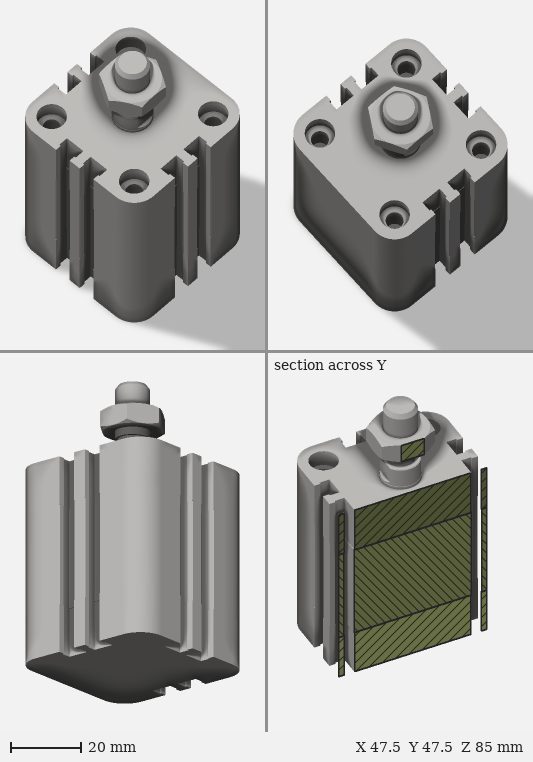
import cadquery as cq
import math

total_height = 85.0
body_side = 47.5
corner_radius = 7.5
body_height = 59.0
cap_height = 14.45
barrel_height = body_height - 2 * cap_height
body_top = body_height

slot_offset = 4.7
slot_mouth_width = 5.35
slot_inner_width = 6.5
cap_slot_depth = 5.1
cap_lip_thickness = 1.95
barrel_slot_depth = 4.9
barrel_lip_thickness = 1.8
mouth_chamfer = 0.25
slotted_side_angles = (-90, 0, 90)

hole_spacing = 32.5
hole_diameter = 5.1
counterbore_diameter = 8.7
counterbore_depth = 5.0

collar_diameter = 12.0
collar_height = 1.0
collar_bevel_height = 0.2
shank_diameter = 11.8
shank_top = 7.05
shank_chamfer = 0.25
neck_diameter = 8.75
thread_start = 9.8
thread_diameter = 10.0
thread_tip_diameter = 8.2
thread_tip_height = 1.4
rod_top = total_height - body_height

flats_width = 10.0
flats_bottom = 1.9
flats_end_slope = 30

nut_width = 17.0
nut_height = 6.0
nut_bottom = 12.0
nut_face_diameter = 16.8
nut_chamfer_angle = 30
nut_countersink_diameter = 10.45


def slot_outline(depth, lip_thickness, chamfer):
    """Section of one slot: mouth on the local X axis, running inward along +Y."""
    half_mouth = slot_mouth_width / 2
    half_inner = slot_inner_width / 2
    right_edge = [(half_mouth + chamfer, 0)]
    if chamfer > 0:
        right_edge.append((half_mouth, chamfer))
    right_edge += [
        (half_mouth, lip_thickness),
        (half_inner, lip_thickness),
        (half_inner, depth),
    ]
    left_edge = [(-x, y) for x, y in reversed(right_edge)]
    return right_edge + left_edge


def body_section(base, height, slot_depth, lip_thickness, chamfer=0):
    """Rounded square block with a pair of slots on each slotted side."""
    block = (
        cq.Workplane("XY", origin=(0, 0, base))
        .rect(body_side, body_side)
        .extrude(height)
        .edges("|Z")
        .fillet(corner_radius)
    )
    outline = slot_outline(slot_depth, lip_thickness, chamfer)
    for angle in slotted_side_angles:
        for offset in (-slot_offset, slot_offset):
            slot = (
                cq.Workplane("XY", origin=(offset, -body_side / 2, base))
                .polyline(outline)
                .close()
                .extrude(height)
                .rotate((0, 0, 0), (0, 0, 1), angle)
            )
            block = block.cut(slot)
    return block


def make_rear_cap():
    return body_section(0, cap_height, cap_slot_depth, cap_lip_thickness)


def make_barrel():
    return body_section(
        cap_height, barrel_height, barrel_slot_depth, barrel_lip_thickness, mouth_chamfer
    )


def make_front_cap():
    """Front cap with counterbored corner holes and a bore that fits the rod."""
    cap = body_section(body_top - cap_height, cap_height, cap_slot_depth, cap_lip_thickness)
    return (
        cap.faces(">Z")
        .workplane(origin=(0, 0, body_top))
        .rect(hole_spacing, hole_spacing, forConstruction=True)
        .vertices()
        .cboreHole(hole_diameter, counterbore_diameter, counterbore_depth)
        .faces(">Z")
        .workplane(origin=(0, 0, body_top))
        .hole(collar_diameter)
    )


def make_flat_cutter():
    """Material removed for the flat on +X, with a sloping lower end."""
    inner = flats_width / 2
    outer = collar_diameter / 2
    slope_drop = (outer - inner) * math.tan(math.radians(flats_end_slope))
    return (
        cq.Workplane("XZ", origin=(0, 0, body_top))
        .moveTo(inner, flats_bottom)
        .lineTo(outer, flats_bottom - slope_drop)
        .lineTo(outer, shank_top)
        .lineTo(inner, shank_top)
        .close()
        .extrude(outer, both=True)
    )


def make_rod():
    """Turned rod with two wrench flats facing -X and +X."""
    collar_radius = collar_diameter / 2
    shank_radius = shank_diameter / 2
    neck_radius = neck_diameter / 2
    thread_radius = thread_diameter / 2
    profile = [
        (0, -cap_height),
        (collar_radius, -cap_height),
        (collar_radius, collar_height - collar_bevel_height),
        (shank_radius, collar_height),
        (shank_radius, shank_top - shank_chamfer),
        (shank_radius - shank_chamfer, shank_top),
        (neck_radius, shank_top),
        (neck_radius, thread_start),
        (thread_radius, thread_start),
        (thread_radius, rod_top - thread_tip_height),
        (thread_tip_diameter / 2, rod_top),
        (0, rod_top),
    ]
    rod = (
        cq.Workplane("XZ", origin=(0, 0, body_top))
        .polyline(profile)
        .close()
        .revolve(360, (0, 0, 0), (0, 1, 0))
    )
    flat_cutter = make_flat_cutter()
    return rod.cut(flat_cutter).cut(flat_cutter.mirror("YZ"))


def make_nut():
    """Hexagon nut, beveled at both ends, with a countersunk bore that fits the thread."""
    hexagon_radius = nut_width / 2 / math.cos(math.pi / 6)
    face_radius = nut_face_diameter / 2
    chamfer_drop = (hexagon_radius - face_radius) * math.tan(math.radians(nut_chamfer_angle))
    base = body_top + nut_bottom

    hexagon = (
        cq.Workplane("XY", origin=(0, 0, base))
        .polygon(6, 2 * hexagon_radius)
        .extrude(nut_height)
        .rotate((0, 0, 0), (0, 0, 1), 30)
    )
    bore_radius = thread_diameter / 2
    countersink_radius = nut_countersink_diameter / 2
    countersink_depth = countersink_radius - bore_radius
    envelope = (
        cq.Workplane("XZ", origin=(0, 0, base))
        .moveTo(countersink_radius, 0)
        .lineTo(face_radius, 0)
        .lineTo(hexagon_radius, chamfer_drop)
        .lineTo(hexagon_radius, nut_height - chamfer_drop)
        .lineTo(face_radius, nut_height)
        .lineTo(countersink_radius, nut_height)
        .lineTo(bore_radius, nut_height - countersink_depth)
        .lineTo(bore_radius, countersink_depth)
        .close()
        .revolve(360, (0, 0, 0), (0, 1, 0))
    )
    return hexagon.intersect(envelope)


rear_cap = make_rear_cap()
barrel = make_barrel()
front_cap = make_front_cap()
rod = make_rod()
nut = make_nut()

result = cq.Compound.makeCompound(
    [body.solids().val() for body in (rear_cap, barrel, front_cap, rod, nut)]
)